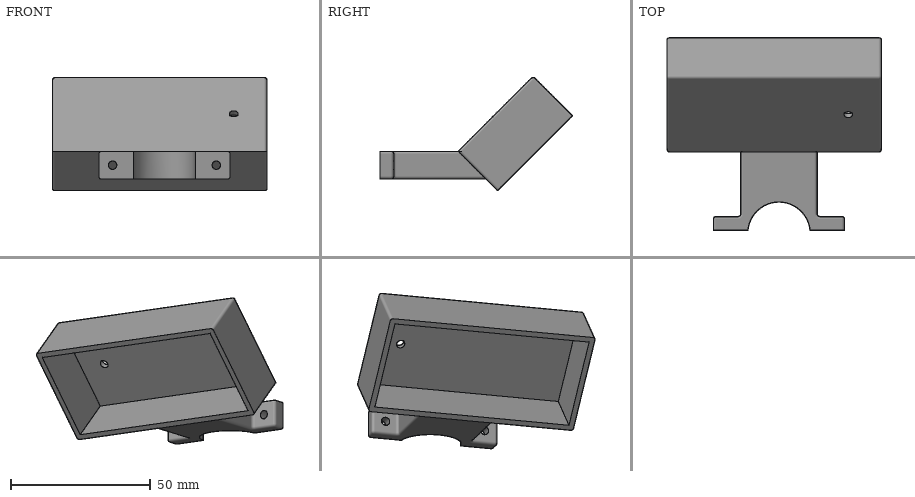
import cadquery as cq

BOX_WIDTH = 77.1
BOX_LENGTH = 38.1
BOX_DEPTH = 20.05
BOX_TILT = 45.0
WALL = 2.0
BOX_HOLE_X = 26.6

EDGE_RADIUS = 1.0
HOLE_DIAMETER = 3.0

BRACKET_HEIGHT = 10.0
BRACKET_X = 1.7
BRACKET_REACH = 28.1
LEG_WIDTH = 27.5
FLANGE_WIDTH = 47.2
FLANGE_THICKNESS = 5.0
SADDLE_RADIUS = 11.2
SADDLE_OFFSET = 1.0
FLANGE_HOLE_SPACING = 37.2


def tilt(body):
    """Swing a body about the X axis, where the box's sharp front edge lies."""
    return body.rotate((0, 0, 0), (1, 0, 0), BOX_TILT)


def block_below(width, length, depth):
    """Block centred on X, running back from Y = 0 and down from Z = 0."""
    return cq.Workplane("XY").rect(width, length).extrude(-depth).translate((0, length / 2, 0))


def make_box():
    """Build the box level, with its upper front edge on the X axis, then tilt it."""
    shell = block_below(BOX_WIDTH, BOX_LENGTH, BOX_DEPTH)
    shell = shell.edges("|Z or (>Z and (not <Y))").fillet(EDGE_RADIUS)

    cavity = block_below(BOX_WIDTH - 2 * WALL, BOX_LENGTH - 2 * WALL, BOX_DEPTH - WALL)
    cavity = cavity.translate((0, WALL, -WALL))

    hole = (
        cq.Workplane("XY")
        .center(BOX_HOLE_X, BOX_LENGTH / 2)
        .circle(HOLE_DIAMETER / 2)
        .extrude(-WALL)
    )
    return tilt(shell.cut(cavity).cut(hole))


def make_bracket():
    """T-shaped bracket with a round saddle, its leg cut to lie flat on the box's front wall."""
    half_leg = LEG_WIDTH / 2
    half_flange = FLANGE_WIDTH / 2
    clamp_face = -BRACKET_REACH
    flange_back = clamp_face + FLANGE_THICKNESS
    leg_end = BRACKET_HEIGHT

    body = (
        cq.Workplane("XY")
        .polyline([
            (-half_flange, clamp_face),
            (half_flange, clamp_face),
            (half_flange, flange_back),
            (half_leg, flange_back),
            (half_leg, leg_end),
            (-half_leg, leg_end),
            (-half_leg, flange_back),
            (-half_flange, flange_back),
        ])
        .close()
        .extrude(-BRACKET_HEIGHT)
    )

    body = body.edges("|Z and (not <Y) and (not >Y)").fillet(EDGE_RADIUS)
    body = body.faces("|Z").edges("(not <Y) and (not >Y)").fillet(EDGE_RADIUS)

    saddle = (
        cq.Workplane("XY")
        .center(0, clamp_face - SADDLE_OFFSET)
        .circle(SADDLE_RADIUS)
        .extrude(-BRACKET_HEIGHT)
    )
    flange_holes = (
        cq.Workplane("XZ", origin=(0, flange_back, -BRACKET_HEIGHT / 2))
        .pushPoints([(-FLANGE_HOLE_SPACING / 2, 0), (FLANGE_HOLE_SPACING / 2, 0)])
        .circle(HOLE_DIAMETER / 2)
        .extrude(FLANGE_THICKNESS)
    )
    box_envelope = tilt(block_below(BOX_WIDTH, BOX_LENGTH, BOX_DEPTH))
    body = body.cut(saddle).cut(flange_holes).translate((BRACKET_X, 0, 0))
    return body.cut(box_envelope)


tilted_box = make_box()
bracket = make_bracket()

result = cq.Compound.makeCompound([tilted_box.val(), bracket.val()])